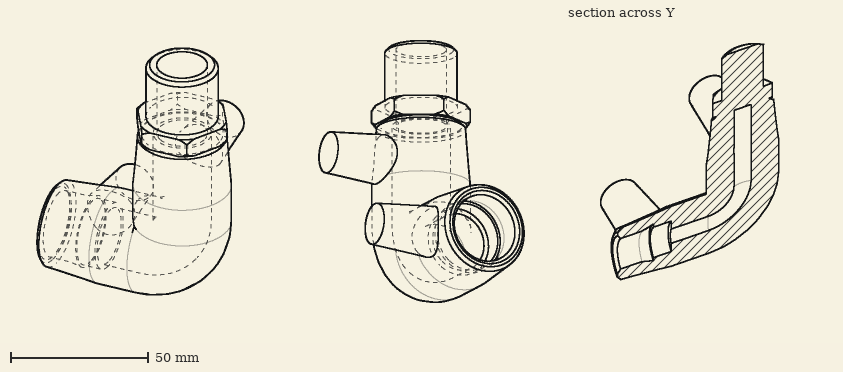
import cadquery as cq
import math

body_radius = 18.0
bend_radius = 14.1
leg_length = 51.3
taper_start = 29.3
taper_end_radius = 16.3
edge_chamfer = 1.4

hex_across_flats = 31.3
hex_height = 7.2
spigot_radius = 26.4 / 2
top_z = 98.3 - body_radius

passage_radius = 10.6
spigot_bore_radius = 18.5 / 2
socket_radius = 25.0 / 2
socket_mouth_radius = 13.8
socket_depth = leg_length - taper_start
socket_mouth_depth = socket_mouth_radius - socket_radius
relief_start_depth = 10.0
relief_end_depth = 14.7
relief_radius = 13.5

stub_offset = 36.3
stub_tip_y = 56 - body_radius
stub_root_y = 11.8
stub_tip_radius = 7.6
stub_half_angle = 4.5


def upright_leg():
    """Leg along +Z from the bend: straight, then tapered, with a chamfered end."""
    shoulder_z = leg_length - edge_chamfer
    return (
        cq.Workplane("XZ")
        .moveTo(0, bend_radius)
        .lineTo(body_radius, bend_radius)
        .lineTo(body_radius, taper_start)
        .lineTo(taper_end_radius, shoulder_z)
        .lineTo(taper_end_radius - edge_chamfer, leg_length)
        .lineTo(0, leg_length)
        .close()
        .revolve(360, (0, 0, 0), (0, 1, 0))
    )


def quarter_bend(profile):
    """Sweep a profile in the plane x = -bend_radius through 90 degrees into the upright leg."""
    return profile.revolve(90, (0, bend_radius, 0), (-1, bend_radius, 0))


def bend_plane():
    return cq.Workplane("YZ", origin=(-bend_radius, 0, 0))


def outer_bend():
    """Outer bend; the tube is wider than the bend, so its section stops at the bend axis."""
    half_chord = math.sqrt(body_radius**2 - bend_radius**2)
    section = (
        bend_plane()
        .moveTo(-half_chord, bend_radius)
        .threePointArc((0, -body_radius), (half_chord, bend_radius))
        .close()
    )
    return quarter_bend(section)


def hexagon():
    """Hexagon with corners on X, both faces chamfered at 45 degrees."""
    corner_radius = hex_across_flats / math.sqrt(3)
    prism = (
        cq.Workplane("XY", origin=(0, 0, leg_length))
        .polygon(6, 2 * corner_radius)
        .extrude(hex_height)
    )
    chamfered_disc = (
        cq.Workplane("XY", origin=(0, 0, leg_length))
        .circle(corner_radius)
        .extrude(hex_height)
        .edges()
        .chamfer(edge_chamfer)
    )
    return prism.intersect(chamfered_disc)


def spigot():
    return (
        cq.Workplane("XY", origin=(0, 0, leg_length))
        .circle(spigot_radius)
        .extrude(top_z - leg_length)
        .faces(">Z")
        .edges()
        .chamfer(edge_chamfer)
    )


def side_stub(x, z):
    """Solid cone frustum rooted in the leg wall."""
    length = stub_tip_y - stub_root_y
    root_radius = stub_tip_radius + length * math.tan(math.radians(stub_half_angle))
    return cq.Workplane(
        cq.Solid.makeCone(
            root_radius, stub_tip_radius, length, cq.Vector(x, stub_root_y, z), cq.Vector(0, 1, 0)
        )
    )


def flow_passage():
    """Socket with a flared relief in the -X leg, constant bore round the bend, narrower bore up the spigot."""
    socket_floor = leg_length - socket_depth
    socket = (
        cq.Workplane("XZ")
        .moveTo(-leg_length, 0)
        .lineTo(-leg_length, socket_mouth_radius)
        .lineTo(-leg_length + socket_mouth_depth, socket_radius)
        .lineTo(-leg_length + relief_start_depth, socket_radius)
        .lineTo(-leg_length + relief_end_depth, relief_radius)
        .lineTo(-leg_length + relief_end_depth, socket_radius)
        .lineTo(-socket_floor, socket_radius)
        .lineTo(-socket_floor, passage_radius)
        .lineTo(-bend_radius, passage_radius)
        .lineTo(-bend_radius, 0)
        .close()
        .revolve(360, (0, 0, 0), (1, 0, 0))
    )
    bend = quarter_bend(bend_plane().circle(passage_radius))
    upright_bore = (
        cq.Workplane("XY", origin=(0, 0, bend_radius))
        .circle(passage_radius)
        .extrude(leg_length - bend_radius)
    )
    spigot_bore = (
        cq.Workplane("XY", origin=(0, 0, leg_length))
        .circle(spigot_bore_radius)
        .extrude(top_z - leg_length)
    )
    return socket.union(bend).union(upright_bore).union(spigot_bore)


upright = upright_leg()
level = upright.rotate((0, 0, 0), (0, 1, 0), -90)
result = (
    upright.union(level)
    .union(outer_bend())
    .union(hexagon())
    .union(spigot())
    .union(side_stub(-stub_offset, 0))
    .union(side_stub(0, stub_offset))
    .cut(flow_passage())
)